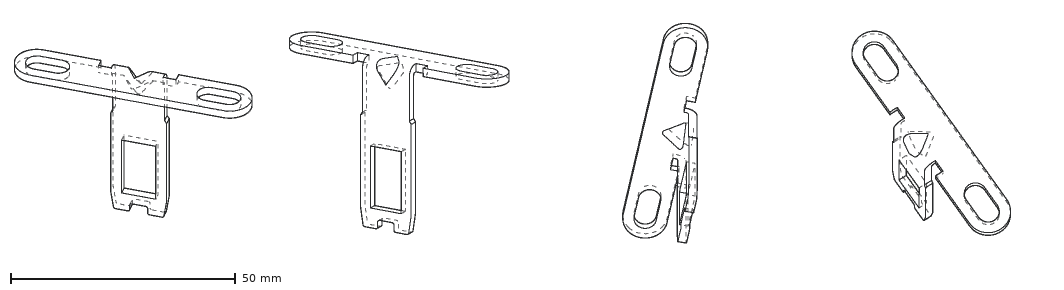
import cadquery as cq
import math

thickness = 2.0
bend_inner_radius = 0.5
bend_outer_radius = bend_inner_radius + thickness

plate_length = 55.0
plate_width = 10.0
slot_length = 10.0
slot_width = plate_width / 2
slot_offset = 19.95
notch_outer_x = 9.0
notch_depth = 2.0

overall_depth = 11.0
leg_back_y = overall_depth - plate_width / 2
leg_depth = 39.5
neck_half_width = 6.05
leg_half_width = 6.55
tip_half_width = 5.85
neck_end_depth = 12.65
shoulder_depth = 13.35
taper_depth = 34.8
window_width = 7.9
window_top_depth = 20.25
window_bottom_depth = 34.8
tip_notch_half_width = 2.1
tip_notch_depth = 2.15
tip_corner_radius = 0.5

rib_reach = 9.1
groove_reach = 5.2
rib_edge_radius = 0.8
groove_edge_radius = 0.1
gusset_length = 33.0


def make_plate():
    plate = cq.Workplane("XY").slot2D(plate_length, plate_width).extrude(-thickness)
    slots = (
        cq.Workplane("XY")
        .pushPoints([(-slot_offset, 0), (slot_offset, 0)])
        .slot2D(slot_length, slot_width)
        .extrude(-thickness)
    )
    relief = (
        cq.Workplane("XY")
        .rect(2 * notch_outer_x, 2 * notch_depth)
        .extrude(-thickness)
        .translate((0, plate_width / 2, 0))
    )
    return plate.cut(slots).cut(relief)


def make_bent_strip():
    """L-shaped strip that joins the plate and forms the full-width leg blank."""
    leg_front_y = leg_back_y - thickness
    bend_y = leg_back_y - bend_outer_radius
    arc_middle = math.sqrt(0.5)
    return (
        cq.Workplane("YZ")
        .moveTo(0, 0)
        .lineTo(bend_y, 0)
        .threePointArc(
            (bend_y + bend_outer_radius * arc_middle, bend_outer_radius * (arc_middle - 1)),
            (leg_back_y, -bend_outer_radius),
        )
        .lineTo(leg_back_y, -leg_depth)
        .lineTo(leg_front_y, -leg_depth)
        .lineTo(leg_front_y, -bend_outer_radius)
        .threePointArc(
            (bend_y + bend_inner_radius * arc_middle, bend_inner_radius * arc_middle - bend_outer_radius),
            (bend_y, -thickness),
        )
        .lineTo(0, -thickness)
        .close()
        .extrude(leg_half_width, both=True)
    )


def make_leg_outline():
    """Outline of the leg as a prism through the whole depth of the part."""
    right_side = [
        (neck_half_width, 0),
        (neck_half_width, -neck_end_depth),
        (leg_half_width, -shoulder_depth),
        (leg_half_width, -taper_depth),
        (tip_half_width, -leg_depth),
        (tip_notch_half_width, -leg_depth),
        (tip_notch_half_width, tip_notch_depth - leg_depth),
    ]
    left_side = [(-x, z) for x, z in reversed(right_side)]
    outline = (
        cq.Workplane("XZ")
        .polyline(right_side + left_side)
        .close()
        .extrude(plate_width, both=True)
    )
    tip_height = tip_notch_depth + tip_corner_radius
    tip_zone = cq.selectors.BoxSelector(
        (-leg_half_width, -thickness, -leg_depth - thickness),
        (leg_half_width, thickness, -leg_depth + tip_height),
    )
    outline = outline.edges("|Y").edges(tip_zone).fillet(tip_corner_radius)
    window_height = window_bottom_depth - window_top_depth
    window = (
        cq.Workplane("XZ")
        .center(0, -(window_top_depth + window_bottom_depth) / 2)
        .rect(window_width, window_height)
        .extrude(plate_width, both=True)
    )
    return outline.cut(window)


def gusset_prism(reach, edge_radius):
    """V prism with its rounded edge across the bend and its open side towards the outer corner."""
    edge_plane = cq.Plane(origin=(0, leg_back_y, 0), xDir=(1, 0, 0), normal=(0, 1, -1))
    edge_distance = reach / math.sqrt(2)
    tangent_x = edge_radius / math.sqrt(2)
    nose_distance = edge_distance - edge_radius * (math.sqrt(2) - 1)
    return (
        cq.Workplane(edge_plane)
        .moveTo(-edge_distance, 0)
        .lineTo(-tangent_x, edge_distance - tangent_x)
        .threePointArc((0, nose_distance), (tangent_x, edge_distance - tangent_x))
        .lineTo(edge_distance, 0)
        .close()
        .extrude(gusset_length / 2, both=True)
    )


def make_rib():
    """Rib filling the inside corner, rooted halfway into the plate and the leg."""
    root = thickness / 2
    inside_corner = (
        cq.Workplane("XY")
        .box(2 * rib_reach, rib_reach, rib_reach, centered=(True, False, False))
        .translate((0, leg_back_y - root - rib_reach, -root - rib_reach))
    )
    return gusset_prism(rib_reach, rib_edge_radius).intersect(inside_corner)


leg = make_bent_strip().intersect(make_leg_outline())
bracket = make_plate().union(leg).union(make_rib())
result = bracket.cut(gusset_prism(groove_reach, groove_edge_radius))